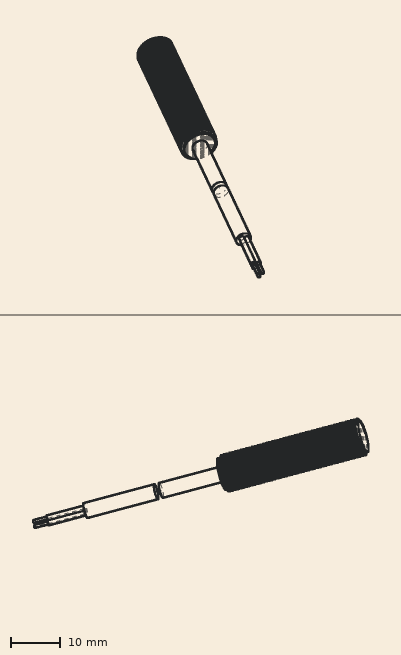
import cadquery as cq
import math

body_end = 30.0
first_cable_end = 43.0
cable_gap = 1.05
second_cable_end = 59.0
wire_end = 67.0
total_length = 70.0

thread_diameter = 7.55
root_diameter = 6.6
pitches_along_body = 50
pitch = body_end / pitches_along_body
crest_width = 0.035
root_width = 0.105
thread_overlap = 0.015
thread_turns = 49

cable_diameter = 3.15
wire_diameter = 1.05
strand_diameter = 0.6
wire_circle_radius = 0.61
first_wire_angle = 135.0
wire_count = 3
core_diameter = 0.015


def rod(start, end, diameter, y=0.0, z=0.0):
    """Round bar parallel to X."""
    section = cq.Workplane("YZ", origin=(start, y, z)).circle(diameter / 2)
    return section.extrude(end - start)


def thread_ridge():
    """Helical ridge with a trapezoidal section, built about Z and laid along X."""
    core_radius = root_diameter / 2
    flank_run = (pitch - crest_width - root_width) / 2
    flank_slope = flank_run / (thread_diameter / 2 - core_radius)
    base_half = crest_width / 2 + flank_run + thread_overlap * flank_slope
    base_radius = core_radius - thread_overlap
    section = [
        (base_radius, -base_half),
        (thread_diameter / 2, -crest_width / 2),
        (thread_diameter / 2, crest_width / 2),
        (base_radius, base_half),
    ]

    length = pitch * thread_turns
    helices = [cq.Wire.makeHelix(pitch, length, r, cq.Vector(0, 0, h)) for r, h in section]
    faces = [cq.Face.makeRuledSurface(helices[i - 1], helices[i]) for i in range(len(section))]
    for lift in (0, length):
        corners = [cq.Vector(r, 0, h + lift) for r, h in section]
        faces.append(cq.Face.makeFromWires(cq.Wire.makePolygon(corners, close=True)))
    ridge = cq.Workplane(cq.Solid.makeSolid(cq.Shell.makeShell(faces)))

    ridge = ridge.rotate((0, 0, 0), (1, 1, 1), 120)

    return ridge.translate((base_half, 0, 0))


def stripped_wire(angle):
    """Insulated wire with a bare, round-ended strand."""
    y = wire_circle_radius * math.cos(math.radians(angle))
    z = wire_circle_radius * math.sin(math.radians(angle))
    strand_radius = strand_diameter / 2
    tip_centre = total_length - strand_radius
    wire = rod(second_cable_end, wire_end, wire_diameter, y, z)
    strand = rod(wire_end, tip_centre, strand_diameter, y, z)
    tip = cq.Workplane("XY", origin=(tip_centre, y, z)).sphere(strand_radius)
    return wire.union(strand).union(tip)


result = rod(0, body_end, root_diameter).union(thread_ridge(), clean=False)

second_cable_start = first_cable_end + cable_gap
result = result.union(rod(body_end, first_cable_end, cable_diameter), clean=False)
result = result.union(rod(first_cable_end, second_cable_start, core_diameter), clean=False)
result = result.union(rod(second_cable_start, second_cable_end, cable_diameter), clean=False)

for index in range(wire_count):
    angle = first_wire_angle + index * 360 / wire_count
    result = result.union(stripped_wire(angle), clean=False)